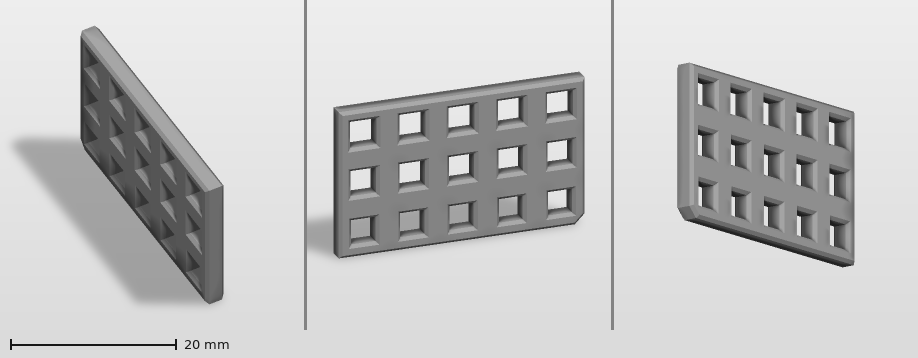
import cadquery as cq

length = 31.75
thickness = 2.55
height = 19.05
corner_cut = 1.27
rim_width = 1.75
edge_chamfer = (thickness - rim_width) / 2

columns = 5
rows = 3
smallest_hole = 3.05
hole_step = 0.025
column_pitch = length / columns
row_pitch = height / rows


def make_plate():
    """Centred plate with one cut corner and chamfered front and back rims."""
    plate = cq.Workplane("XY").box(length, thickness, height)
    plate = plate.edges("|Y").edges("<X").edges("<Z").chamfer(corner_cut)
    return plate.faces("<Y or >Y").chamfer(edge_chamfer)


def make_hole(side):
    """Square prism through the plate, flared by a chamfer at both faces."""
    mouth = side + 2 * edge_chamfer
    hole = cq.Workplane("XY").box(side, thickness, side)
    front_flare = (
        cq.Workplane("XZ", origin=(0, -rim_width / 2, 0))
        .rect(side, side)
        .workplane(offset=edge_chamfer)
        .rect(mouth, mouth)
        .loft(ruled=True)
    )
    back_flare = front_flare.mirror("XZ")
    return hole.union(front_flare).union(back_flare)


result = make_plate()

for row in range(rows):
    for column in range(columns):
        hole_side = smallest_hole + hole_step * (row * columns + column)
        center_x = (column + 0.5) * column_pitch - length / 2
        center_z = (row + 0.5) * row_pitch - height / 2
        result = result.cut(make_hole(hole_side).translate((center_x, 0, center_z)))